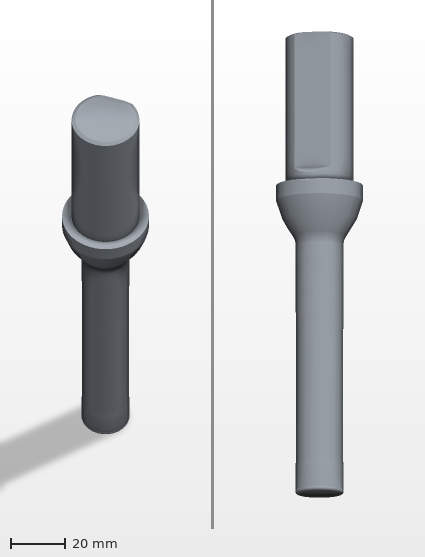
import cadquery as cq

shank_dia = 25.0
flange_dia = 32.0
neck_dia = 17.6
stem_dia = 17.5
head_dia = neck_dia
rim_dia = 17.8

total_height = 171.0
flange_top = 115.3
flange_bottom = 109.6
neck_top = 93.0
taper_top = 87.9
taper_bottom = 56.1
flare_top = 12.7
head_top = 9.5
ledge_top = 1.4
ledge_bottom = 1.0

blend_radius = 10.1
blend_height = 96.8

shank_chamfer_width = 1.4
shank_chamfer_height = 0.7
rim_fillet = 0.9

flat_offset = 10.5
flat_bottom = 120.2


def make_holder():
    """Turned holder: stem, tapered neck, flared shoulder, flange and shank."""
    shank_radius = shank_dia / 2
    flange_radius = flange_dia / 2
    neck_radius = neck_dia / 2
    stem_radius = stem_dia / 2
    profile = (
        cq.Workplane("XZ")
        .moveTo(0, head_top)
        .lineTo(head_dia / 2, head_top)
        .lineTo(stem_radius, flare_top)
        .lineTo(stem_radius, taper_bottom)
        .lineTo(neck_radius, taper_top)
        .lineTo(neck_radius, neck_top)
        .tangentArcPoint((blend_radius, blend_height), relative=False)
        .tangentArcPoint((flange_radius, flange_bottom), relative=False)
        .lineTo(flange_radius, flange_top)
        .lineTo(shank_radius, flange_top)
        .lineTo(shank_radius, total_height - shank_chamfer_height)
        .lineTo(shank_radius - shank_chamfer_width, total_height)
        .lineTo(0, total_height)
        .close()
    )
    return profile.revolve(360, (0, 0, 0), (0, 1, 0))


def make_flat_cutter():
    """Volume removed from the shank to leave the flat and its sloped run-out."""
    outer = flange_dia / 2
    runout = outer - flat_offset
    return (
        cq.Workplane("YZ")
        .moveTo(flat_offset, total_height)
        .lineTo(flat_offset, flat_bottom)
        .lineTo(outer, flat_bottom - runout)
        .lineTo(outer, total_height)
        .close()
        .extrude(shank_dia / 2, both=True)
    )


def make_head():
    """Cylindrical head with a slightly wider rim at the tip, rounded at its lower edge."""
    head_radius = head_dia / 2
    rim_radius = rim_dia / 2
    profile = (
        cq.Workplane("XZ")
        .lineTo(rim_radius, 0)
        .lineTo(rim_radius, ledge_bottom)
        .lineTo(head_radius, ledge_top)
        .lineTo(head_radius, head_top)
        .lineTo(0, head_top)
        .close()
    )
    head = profile.revolve(360, (0, 0, 0), (0, 1, 0))
    return head.faces("<Z").edges().fillet(rim_fillet)


holder = make_holder().cut(make_flat_cutter())
head = make_head()

result = cq.Compound.makeCompound([holder.val(), head.val()])